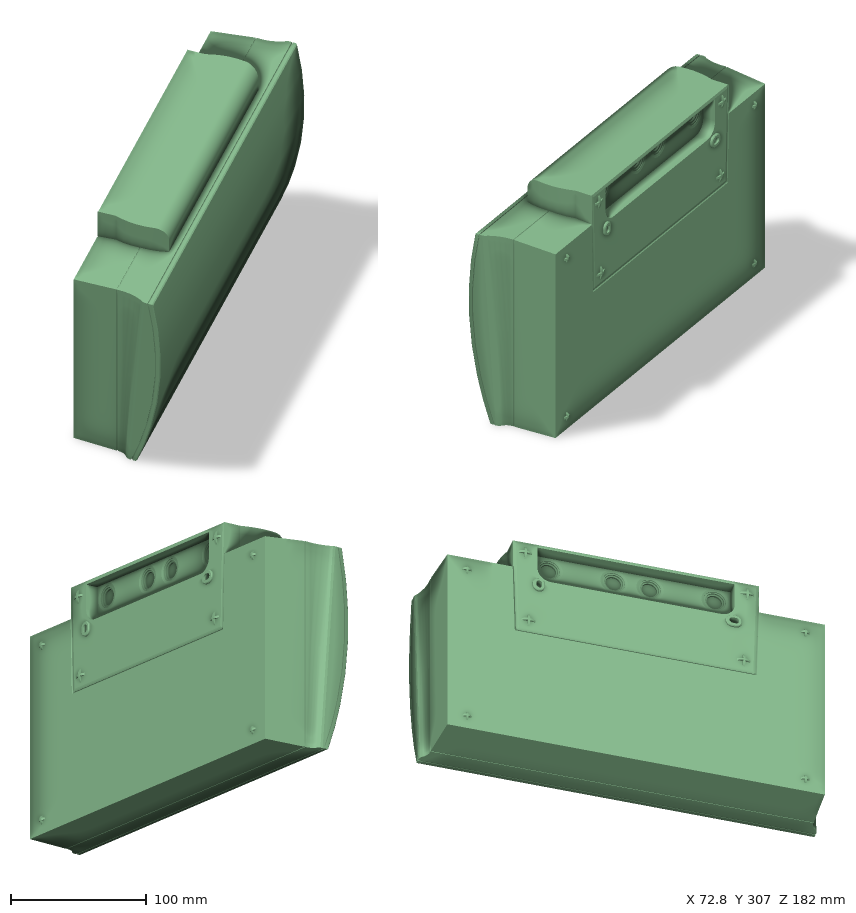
import cadquery as cq
import math

overall_depth = 72.79
overall_width = 306.96
overall_height = 182.02
foot_height = 1.8
front_x = overall_depth - foot_height
half_width = overall_width / 2
margin = 1.0

parting_x = 35.4
case_rear_half_width = 145.6
case_half_width = 147.8
case_rear_height = 157.4
case_height = 160.0
parting_groove = 0.9
parting_groove_depth = 0.4

cover_front_height = 158.8
front_bottom_x = 52.3
front_crown_z = 101.0
front_drop = front_x - front_bottom_x
front_radius = (front_crown_z**2 + front_drop**2) / (2 * front_drop)
front_centre_x = front_x - front_radius
front_top_x = front_centre_x + math.sqrt(front_radius**2 - (cover_front_height - front_crown_z)**2)
flare_bottom = dict(lip=43.3, ridge=45.2, side=47.0)
flare_top = dict(lip=54.9, ridge=56.8, side=58.7)
flare_ridge_y = 153.0
flare_lip_y = 151.6
flare_sag = 1.3
panel_thickness = 3.2
groove_width = 0.9
groove_depth = 0.6
panel_chamfer = 0.7

hood_front_x = 56.1
hood_side_start_x = 14.5
hood_bulge_half_width = 98.5
hood_half_width = 94.9
hood_front_radius = 11.0
plate_thickness = hood_side_start_x
plate_bottom_half_width = 92.6
plate_bottom_z = 99.8
plate_corner_radius = 2.5
plate_bevel_width = 2.2
plate_bevel_depth = 0.5
recess_bevel = 1.0

pocket_half_width = 76.0
pocket_top_z = 179.2
pocket_bottom_z = 149.5
pocket_depth = 10.2
pocket_corner_radius = 10.5

opening_z = 168.6
opening_positions = (-64.0, -13.9, 13.9, 64.0)
dish_diameter = 21.0
dish_depth = 0.5
seat_diameter = 17.0
seat_depth = 1.0
ledge_diameter = 14.6
ledge_depth = 2.0
knockout_diameter = 12.0
knockout_depth = 3.5

case_foot_y = 130.5
case_foot_heights = (11.0, 146.6)
case_foot_length = 6.8
bracket_foot_places = ((85.6, 172.3), (83.0, 110.3))
bracket_foot_length = 10.6
fin_thickness = 1.7
fin_root = 0.5
boss_y = 75.2
boss_z = 144.4
boss_chamfer = 0.6
hanging_slot_depth = 6.0
upright_boss = dict(width=9.2, height=11.4, slot_width=4.2, slot_height=6.4)
level_boss = dict(width=12.6, height=10.2, slot_width=7.4, slot_height=5.0)


def rear_plane(x=0.0):
    """Y-Z plane at depth x, drawn in (y, z), extruding towards +X."""
    return cq.Workplane("YZ", origin=(x, 0, 0))


def cross_foot(y, z, length):
    """Two crossed fins, each a circular segment rising from the rear face."""
    radius = (length**2 / 4 + foot_height**2) / (2 * foot_height)
    drum_x = radius - foot_height
    level = cq.Workplane("XY", origin=(drum_x, y, z)).circle(radius).extrude(fin_thickness / 2, both=True)
    upright = cq.Workplane("XZ", origin=(drum_x, y, z)).circle(radius).extrude(fin_thickness / 2, both=True)
    envelope = cq.Workplane("XY").box(foot_height + fin_root, 2 * length, 2 * length)
    envelope = envelope.translate(((fin_root - foot_height) / 2, y, z))
    return upright.union(level).intersect(envelope)


def bowed_front(inset=0.0):
    """Solid cylinder behind the bowed front, shrunk by the inset."""
    bow = cq.Workplane("XZ", origin=(front_centre_x, half_width + margin, front_crown_z))
    return bow.circle(front_radius - inset).extrude(overall_width + 2 * margin)


def case_envelope():
    """Drafted block of the case without its recess, groove and feet."""
    rear = rear_plane().center(0, case_rear_height / 2).rect(2 * case_rear_half_width, case_rear_height)
    front = rear.workplane(offset=parting_x).center(0, (case_height - case_rear_height) / 2)
    return front.rect(2 * case_half_width, case_height).loft(ruled=True)


def plate_outline(workplane):
    """Tapered outline of the bracket plate, narrowing downwards."""
    return workplane.polyline([
        (hood_half_width, overall_height),
        (plate_bottom_half_width, plate_bottom_z),
        (-plate_bottom_half_width, plate_bottom_z),
        (-hood_half_width, overall_height),
    ]).close()


def plate_block():
    block = plate_outline(rear_plane()).extrude(plate_thickness)
    return block.edges("|X and <Z").fillet(plate_corner_radius)


def parting_groove_ring():
    """Ring of material removed from the case beside the parting plane."""
    core_width = 2 * (case_half_width - parting_groove_depth)
    core_height = case_height - 2 * parting_groove_depth
    middle = rear_plane(parting_x - parting_groove).center(0, case_height / 2)
    slab = middle.rect(2 * overall_width, 2 * overall_height).extrude(parting_groove)
    return slab.cut(middle.rect(core_width, core_height).extrude(parting_groove))


def make_case():
    case = case_envelope().cut(plate_block()).cut(parting_groove_ring())
    mouth = plate_outline(rear_plane()).offset2D(recess_bevel, "arc")
    case = case.cut(mouth.extrude(recess_bevel, taper=45))
    for side in (-1, 1):
        for z in case_foot_heights:
            case = case.union(cross_foot(side * case_foot_y, z, case_foot_length))
    return case


def flare_section(z, flare):
    """Horizontal section of the cover with its sides flaring out to the full width."""
    deep_x = front_x + margin
    mid_x = (parting_x + flare["lip"]) / 2
    mid_y = (case_half_width + flare_lip_y) / 2 - flare_sag
    right_side = [(flare["lip"], flare_lip_y), (flare["ridge"], flare_ridge_y),
                  (flare["side"], half_width), (deep_x, half_width)]
    left_side = [(x, -y) for x, y in reversed(right_side)]
    outline = cq.Workplane("XY", origin=(0, 0, z)).moveTo(parting_x, case_half_width)
    outline = outline.threePointArc((mid_x, mid_y), right_side[0])
    for point in right_side[1:] + left_side:
        outline = outline.lineTo(*point)
    outline = outline.threePointArc((mid_x, -mid_y), (parting_x, -case_half_width))
    return outline.close().val()


def cover_envelope():
    """Flared cover with a sloping top and bowed front, before the groove is cut."""
    sections = [flare_section(0, flare_bottom), flare_section(case_height, flare_top)]
    flared = cq.Workplane(obj=cq.Solid.makeLoft(sections, True))
    top_slope = (cq.Workplane("XZ", origin=(0, half_width, 0))
                 .polyline([(parting_x, 0), (parting_x, case_height), (front_top_x, cover_front_height),
                            (front_x + margin, cover_front_height), (front_x + margin, 0)])
                 .close().extrude(overall_width))
    return flared.intersect(top_slope).intersect(bowed_front())


def panel_groove():
    """Curved ring behind the front panel, open at the sides, top and bottom of the cover."""
    band = bowed_front(panel_thickness).cut(bowed_front(panel_thickness + groove_width))
    middle = rear_plane(parting_x).center(0, cover_front_height / 2)
    ahead = middle.rect(2 * overall_width, 2 * overall_height).extrude(overall_depth)
    core_width = overall_width - 2 * groove_depth
    core_height = cover_front_height - 2 * groove_depth
    core = middle.rect(core_width, core_height).extrude(overall_depth)
    return band.intersect(ahead.cut(core))


def make_cover():
    cover = cover_envelope().cut(panel_groove())
    return cover.faces(">X").edges().chamfer(panel_chamfer)


def hood_block():
    """Bulged hood with a rounded front edge, resting on the case and the cover."""
    bulge_x = (hood_side_start_x + hood_front_x) / 2
    hood = (cq.Workplane("XY", origin=(0, 0, plate_bottom_z))
            .moveTo(0, -hood_half_width)
            .lineTo(hood_side_start_x, -hood_half_width)
            .threePointArc((bulge_x, -hood_bulge_half_width), (hood_front_x, -hood_half_width))
            .lineTo(hood_front_x, hood_half_width)
            .threePointArc((bulge_x, hood_bulge_half_width), (hood_side_start_x, hood_half_width))
            .lineTo(0, hood_half_width)
            .close().extrude(overall_height - plate_bottom_z))
    hood = hood.edges(">X and >Z").fillet(hood_front_radius)
    return hood.cut(case_envelope()).cut(cover_envelope())


def connector_pocket():
    height = pocket_top_z - pocket_bottom_z
    pocket = rear_plane().center(0, pocket_bottom_z + height / 2)
    pocket = pocket.rect(2 * pocket_half_width, height).extrude(pocket_depth)
    return pocket.edges("|X and <Z").fillet(pocket_corner_radius)


def cable_opening(y):
    """Conical dish, two steps and a blind knockout sunk into the pocket floor."""
    floor = rear_plane(pocket_depth).center(y, opening_z)
    dish = floor.circle(dish_diameter / 2).workplane(offset=dish_depth)
    dish = dish.circle(seat_diameter / 2).loft()
    seat = floor.circle(seat_diameter / 2).extrude(seat_depth)
    ledge = floor.circle(ledge_diameter / 2).extrude(ledge_depth)
    knockout = floor.circle(knockout_diameter / 2).extrude(knockout_depth)
    return dish.union(seat).union(ledge).union(knockout)


def add_hanging_boss(body, y, width, height, slot_width, slot_height):
    """Raised rounded boss with a blind hanging slot."""
    rear = rear_plane(-foot_height).center(y, boss_z)

    def rounded(w, h, length):
        angle = 90 if h > w else 0
        return rear.slot2D(max(w, h), min(w, h), angle).extrude(length)

    boss = rounded(width, height, foot_height + fin_root)
    body = body.union(boss.faces("<X").chamfer(boss_chamfer))
    return body.cut(rounded(slot_width, slot_height, hanging_slot_depth))


def make_bracket():
    bracket = hood_block().union(plate_block()).cut(connector_pocket())
    bevel_angle = math.degrees(math.atan2(plate_bevel_width, plate_bevel_depth))
    rim = plate_outline(rear_plane()).extrude(plate_bevel_depth)
    flat = plate_outline(rear_plane(plate_bevel_depth))
    flat = flat.extrude(-plate_bevel_depth, taper=bevel_angle)
    bracket = bracket.cut(rim.cut(flat))
    for y in opening_positions:
        bracket = bracket.cut(cable_opening(y))
    for side in (-1, 1):
        for y, z in bracket_foot_places:
            bracket = bracket.union(cross_foot(side * y, z, bracket_foot_length))
    bracket = add_hanging_boss(bracket, boss_y, **upright_boss)
    return add_hanging_boss(bracket, -boss_y, **level_boss)


case = make_case()
cover = make_cover()
bracket = make_bracket()
result = cq.Compound.makeCompound([*case.solids().vals(), *cover.solids().vals(), *bracket.solids().vals()])